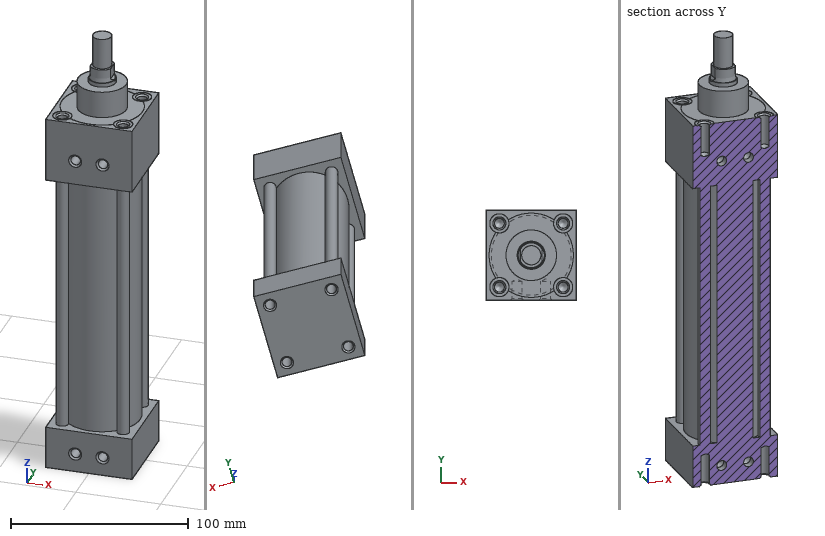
import cadquery as cq
import math

total_height = 263.5
block_side = 50.9
cap_height = 25.3
tube_length = 155.5
head_height = 38.2
boss_height = 15.8
head_bottom = cap_height + tube_length
head_top = head_bottom + head_height
boss_top = head_top + boss_height

tube_diameter = 44.8
boss_diameter = 28.5
face_recess_diameter = 47.5
face_recess_depth = 0.13

tie_rod_diameter = 7.0
tie_rod_offset = 18.0
tie_seat_diameter = 10.8
tie_seat_depth = 0.3
tie_hole_diameter = 5.5
tie_hole_rim_diameter = 7.5
tie_hole_depth = 18.5

port_diameter = 5.5
port_rim_diameter = 7.6
port_depth = 10.5
port_spacing = 16.0
head_port_height = head_bottom + 14.5
cap_port_height = 11.0
drill_point_angle = 118.0

rod_diameter = 15.8
shoulder_length = 2.5
cone_length = 2.5
cone_base_diameter = 14.8
neck_diameter = 14.0
neck_length = 5.5
thread_diameter = 10.8
flat_width = 12.0
flat_reach_into_cone = 0.8
flat_runout_angle = 50.0
rod_bore_bottom = head_bottom
cone_bottom = boss_top + shoulder_length
neck_bottom = cone_bottom + cone_length
neck_top = neck_bottom + neck_length

tie_rod_sides = (-tie_rod_offset, tie_rod_offset)
corner_points = [(x, y) for x in tie_rod_sides for y in tie_rod_sides]


def cylinder(diameter, bottom, top):
    """Vertical cylinder on the Z axis."""
    return cq.Workplane("XY").workplane(offset=bottom).circle(diameter / 2).extrude(top - bottom)


def block(bottom, top):
    """Square end block centred on the Z axis."""
    return cq.Workplane("XY").workplane(offset=bottom).rect(block_side, block_side).extrude(top - bottom)


def drilled_hole(diameter, rim_diameter, depth):
    """Cutter for a blind hole down from the origin, with a 45 degree rim and a drill point."""
    radius = diameter / 2
    rim_radius = rim_diameter / 2
    rim_depth = rim_radius - radius
    point_length = radius / math.tan(math.radians(drill_point_angle / 2))
    profile = [
        (0, 0),
        (rim_radius, 0),
        (radius, -rim_depth),
        (radius, -depth),
        (0, -depth - point_length),
    ]
    return cq.Workplane("XZ").polyline(profile).close().revolve(360, (0, 0), (0, 1))


def make_housing():
    housing = block(0, cap_height)
    housing = housing.union(block(head_bottom, head_top))
    housing = housing.union(cylinder(tube_diameter, cap_height, head_bottom))
    for x, y in corner_points:
        tie_rod = cylinder(tie_rod_diameter, cap_height, head_bottom).translate((x, y, 0))
        housing = housing.union(tie_rod)

    recess_floor = head_top - face_recess_depth
    housing = housing.cut(cylinder(face_recess_diameter, recess_floor, head_top))
    housing = housing.union(cylinder(boss_diameter, recess_floor, boss_top))

    seat_floor = head_top - tie_seat_depth
    for x, y in corner_points:
        housing = housing.cut(cylinder(tie_seat_diameter, seat_floor, head_top).translate((x, y, 0)))

    screw_hole = drilled_hole(tie_hole_diameter, tie_hole_rim_diameter, tie_hole_depth)
    base_screw_hole = screw_hole.mirror("XY")
    for x, y in corner_points:
        housing = housing.cut(screw_hole.translate((x, y, seat_floor)))
        housing = housing.cut(base_screw_hole.translate((x, y, 0)))

    port = drilled_hole(port_diameter, port_rim_diameter, port_depth).rotate((0, 0, 0), (1, 0, 0), 90)
    for x in (-port_spacing / 2, port_spacing / 2):
        for z in (cap_port_height, head_port_height):
            housing = housing.cut(port.translate((x, -block_side / 2, z)))

    return housing.cut(cylinder(rod_diameter, rod_bore_bottom, boss_top))


def make_rod():
    profile = [
        (0, rod_bore_bottom),
        (rod_diameter / 2, rod_bore_bottom),
        (rod_diameter / 2, cone_bottom),
        (cone_base_diameter / 2, cone_bottom),
        (neck_diameter / 2, neck_bottom),
        (neck_diameter / 2, neck_top),
        (thread_diameter / 2, neck_top),
        (thread_diameter / 2, total_height),
        (0, total_height),
    ]
    rod = cq.Workplane("XZ").polyline(profile).close().revolve(360, (0, 0), (0, 1))

    flat_bottom = neck_bottom - flat_reach_into_cone
    inner = flat_width / 2
    outer = rod_diameter / 2
    runout_bottom = flat_bottom - (outer - inner) * math.tan(math.radians(flat_runout_angle))
    flat_profile = [
        (inner, neck_top),
        (inner, flat_bottom),
        (outer, runout_bottom),
        (outer, neck_top),
    ]
    flat = cq.Workplane("XZ").polyline(flat_profile).close().extrude(rod_diameter / 2, both=True)
    return rod.cut(flat).cut(flat.mirror("YZ"))


housing = make_housing()
rod = make_rod()
result = cq.Compound.makeCompound([housing.val(), rod.val()])